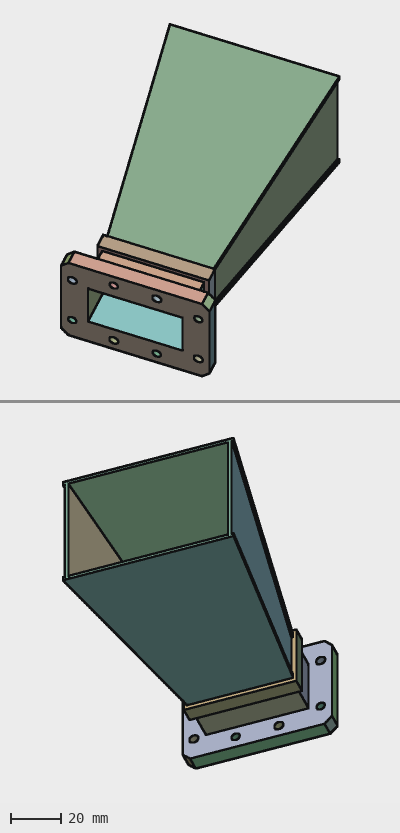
import cadquery as cq

bore_width = 40.39
bore_height = 20.19
wall = 1.62

flange_width = 63.5
flange_height = 44.45
flange_thickness = 6.35
flange_chamfer = 3.175
large_hole_diameter = 3.81
small_hole_diameter = 3.5
side_hole_x = 26.95
side_hole_z = 12.2
edge_hole_x = 9.2
edge_hole_z = 16.85

collar_width = 47.8
collar_height = 27.6
collar_length = 6.35
collar_start = 19.0

total_length = 126.75
mouth_width = 72.56
mouth_height = 52.68
plate_overhang = 0.75

tube_width = bore_width + 2 * wall
tube_height = bore_height + 2 * wall
horn_start = collar_start + collar_length
horn_length = total_length - horn_start
mouth_bore_width = mouth_width - 2 * (wall + plate_overhang)
mouth_bore_height = mouth_height - 2 * wall
flange_front = -total_length / 2


def block(width, height, start, length):
    """Box centred on the Y axis, starting a given distance behind the flange face."""
    box = cq.Workplane("XY").box(width, length, height)
    return box.translate((0, flange_front + start + length / 2, 0))


def taper(neck_width, neck_height, end_width, end_height):
    """Rectangular frustum along Y from the end of the collar to the horn mouth."""
    neck_plane = cq.Workplane("XZ", origin=(0, flange_front + horn_start, 0))
    return (
        neck_plane.rect(neck_width, neck_height)
        .workplane(offset=-horn_length)
        .rect(end_width, end_height)
        .loft(ruled=True)
    )


def hole_set(hand, diameter):
    """Every second flange hole around the bore; the two sets mirror each other in X."""
    points = [
        (-hand * side_hole_x, side_hole_z),
        (hand * edge_hole_x, edge_hole_z),
        (-hand * edge_hole_x, -edge_hole_z),
        (hand * side_hole_x, -side_hole_z),
    ]
    return (
        cq.Workplane("XZ", origin=(0, flange_front, 0))
        .pushPoints(points)
        .circle(diameter / 2)
        .extrude(-flange_thickness)
    )


def flange():
    plate = block(flange_width, flange_height, 0, flange_thickness)
    plate = plate.edges("|Y").chamfer(flange_chamfer)
    return plate.cut(hole_set(1, large_hole_diameter)).cut(hole_set(-1, small_hole_diameter))


def horn():
    """Flared walls; the top and bottom plates overhang the side plates."""
    side_plates = taper(
        tube_width,
        bore_height,
        mouth_bore_width + 2 * wall,
        mouth_bore_height,
    )
    full_plates = taper(
        tube_width + 2 * plate_overhang,
        tube_height,
        mouth_width,
        mouth_height,
    )
    between_plates = taper(
        tube_width + 2 * plate_overhang,
        bore_height,
        mouth_width,
        mouth_bore_height,
    )
    return full_plates.cut(between_plates).union(side_plates)


def bore():
    straight = block(bore_width, bore_height, 0, horn_start)
    flared = taper(bore_width, bore_height, mouth_bore_width, mouth_bore_height)
    return straight.union(flared)


tube = block(tube_width, tube_height, 0, horn_start)
collar = block(collar_width, collar_height, collar_start, collar_length)

result = flange().union(tube).union(collar).union(horn()).cut(bore())